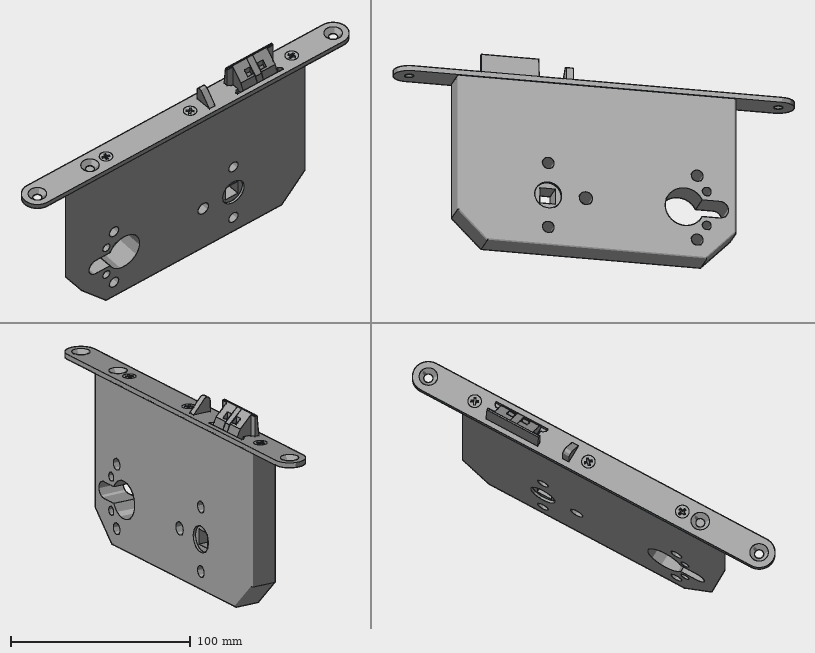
import cadquery as cq

plate_length = 230.0
plate_width = 18.0
plate_thickness = 3.0
plate_bottom = -plate_thickness

sink_diameter = 10.4
sink_bore = 5.0
sink_angle = 90
end_hole_y = 106.0
spare_hole_y = -68.3

screw_places = [(76.4, 25), (3.5, 45), (-56.8, 70)]
screw_diameter = 7.5
cross_length = 4.4
cross_arm = 1.2
cross_depth = 1.8

case_length = 160.0
case_width = 16.0
case_bottom = -100.0
case_corner_cut = 17.0
case_edge_radius = 1.0

hole_axis_z = -70.0
spindle_y = 28.0
fixing_hole_ys = [spindle_y, -57.5]
fixing_hole_rise = 19.0
fixing_hole_diameter = 6.7
rose_hole_y = -63.0
rose_hole_rise = 10.1
rose_hole_diameter = 5.0
middle_hole_y = 6.5
middle_hole_diameter = 7.5

follower_diameter = 15.5
follower_recess = 1.5
spindle_square = 9.0

cylinder_y = -50.4
cylinder_diameter = 22.3
key_slot_width = 10.0
key_slot_end_y = -75.5

latch_y = 49.2
latch_length = 33.1
latch_back_x = -6.0
latch_front_x = 5.8
latch_height = 12.0
latch_back_lean = 1.2
latch_tip_width = 1.0
latch_knee_x = 3.7
latch_knee_z = 4.4
latch_back_thickness = 2.5
latch_core_length = 24.5
rib_length = 4.4
rib_rise = 0.5
rib_knee_x = 4.4

notch_spacing = 9.2
notch_length = 4.1
notch_back_x = -0.2
notch_floor_width = 1.4
notch_wall_lean = 1.5
notch_depth = 3.5

opening_waist_length = 27.1
opening_back_neck_x = -1.8
opening_front_neck_x = 2.8
opening_bevel = 1.5

trigger_y = 15.0
trigger_length = 4.1
trigger_half_width = 5.5
trigger_corner_height = 12.6
trigger_nose_radius = 2.3

latch_tip_x = latch_back_x + latch_back_lean
latch_slope_x = latch_tip_x + latch_tip_width
latch_slope = (latch_knee_z - latch_height) / (latch_knee_x - latch_slope_x)


def slope_z(x):
    """Height of the latch slope at x."""
    return latch_height + latch_slope * (x - latch_slope_x)


def cross_bar(y, z):
    """Workplane on the -X side of the case, for outlines that run across its whole width."""
    return cq.Workplane("YZ", origin=(-case_width / 2, y, z))


def round_hole(y, z, diameter):
    return cross_bar(y, z).circle(diameter / 2).extrude(case_width)


def prism(outline, y, length):
    """Prism of an outline in X and Z, with its length along Y centred on y."""
    return cq.Workplane("XZ", origin=(0, y + length / 2, 0)).polyline(outline).close().extrude(length)


def make_case():
    half = case_length / 2
    flat_half = half - case_corner_cut
    corner_z = case_bottom + case_corner_cut
    outline = [
        (-half, plate_bottom),
        (-half, corner_z),
        (-flat_half, case_bottom),
        (flat_half, case_bottom),
        (half, corner_z),
        (half, plate_bottom),
    ]
    case = cross_bar(0, 0).polyline(outline).close().extrude(case_width)
    return case.faces("<X or >X").edges("not >Z").fillet(case_edge_radius)


def cut_round_holes(case):
    for side in (-1, 1):
        for y in fixing_hole_ys:
            case = case.cut(round_hole(y, hole_axis_z + side * fixing_hole_rise, fixing_hole_diameter))
        case = case.cut(round_hole(rose_hole_y, hole_axis_z + side * rose_hole_rise, rose_hole_diameter))
    return case.cut(round_hole(middle_hole_y, hole_axis_z, middle_hole_diameter))


def cut_follower(case):
    case = case.cut(cross_bar(spindle_y, hole_axis_z).rect(spindle_square, spindle_square).extrude(case_width))
    recess = cross_bar(spindle_y, hole_axis_z).circle(follower_diameter / 2).extrude(follower_recess)
    return case.cut(recess).cut(recess.mirror("YZ"))


def cut_keyhole(case):
    slot_end_centre = key_slot_end_y + key_slot_width / 2
    slot_length = cylinder_y - slot_end_centre
    slot_middle = cross_bar(slot_end_centre + slot_length / 2, hole_axis_z)
    slot = slot_middle.rect(slot_length, key_slot_width).extrude(case_width)
    slot_end = round_hole(slot_end_centre, hole_axis_z, key_slot_width)
    cylinder_hole = round_hole(cylinder_y, hole_axis_z, cylinder_diameter)
    return case.cut(cylinder_hole.union(slot).union(slot_end))


def make_latch():
    back_edge = [
        (latch_back_x, plate_bottom),
        (latch_back_x, 0),
        (latch_tip_x, latch_height),
        (latch_slope_x, latch_height),
    ]
    back_front_x = latch_back_x + latch_back_thickness
    back = back_edge + [(back_front_x, slope_z(back_front_x)), (back_front_x, plate_bottom)]
    front_edge = [(latch_knee_x, latch_knee_z), (latch_front_x, 0), (latch_front_x, plate_bottom)]
    rib_edge = [
        (rib_knee_x, slope_z(rib_knee_x) + rib_rise),
        (latch_front_x, 0),
        (latch_front_x, plate_bottom),
    ]
    return (
        prism(back_edge + front_edge, latch_y, latch_core_length)
        .union(prism(back, latch_y, latch_length))
        .cut(latch_notch(-1))
        .cut(latch_notch(1))
        .union(prism(back_edge + rib_edge, latch_y, rib_length))
    )


def latch_notch(side):
    floor_front_x = notch_back_x + notch_floor_width
    wall_front_x = floor_front_x + notch_wall_lean
    outline = [
        (notch_back_x, latch_height),
        (notch_back_x, slope_z(notch_back_x) - notch_depth),
        (floor_front_x, slope_z(floor_front_x) - notch_depth),
        (wall_front_x, slope_z(wall_front_x)),
        (wall_front_x, latch_height),
    ]
    return prism(outline, latch_y + side * notch_spacing / 2, notch_length)


def make_trigger():
    outline = [
        (-trigger_half_width, plate_bottom),
        (-trigger_half_width, trigger_corner_height),
        (trigger_half_width, 0),
        (trigger_half_width, plate_bottom),
    ]
    block = prism(outline, trigger_y, trigger_length)
    return block.edges("|Y and >Z").fillet(trigger_nose_radius)


def make_lock_body():
    """Case with its follower, keyhole, latch and trigger."""
    case = make_case()
    case = cut_round_holes(case)
    case = cut_follower(case)
    case = cut_keyhole(case)
    return case.union(make_latch()).union(make_trigger())


def latch_opening():
    """Opening through the faceplate, wider than the latch at its waist and front corners."""
    end_y = latch_length / 2
    waist_y = opening_waist_length / 2
    bevel_y = end_y - opening_bevel
    upper = [
        (latch_back_x, end_y),
        (opening_back_neck_x - opening_bevel, end_y),
        (opening_back_neck_x, bevel_y),
        (opening_back_neck_x, waist_y),
        (opening_front_neck_x, waist_y),
        (opening_front_neck_x, bevel_y),
        (opening_front_neck_x + opening_bevel, end_y),
        (latch_front_x, end_y),
    ]
    lower = [(x, -y) for x, y in reversed(upper)]
    return (
        cq.Workplane("XY", origin=(0, latch_y, plate_bottom))
        .polyline(upper + lower)
        .close()
        .extrude(plate_thickness)
    )


def make_faceplate():
    plate = (
        cq.Workplane("XY", origin=(0, 0, plate_bottom))
        .slot2D(plate_length, plate_width, 90)
        .extrude(plate_thickness)
        .faces(">Z")
        .workplane(origin=(0, 0, 0))
        .pushPoints([(0, end_hole_y), (0, spare_hole_y), (0, -end_hole_y)])
        .cskHole(sink_bore, sink_diameter, sink_angle)
    )
    plate = plate.cut(latch_opening()).cut(make_trigger())
    for y, _ in screw_places:
        plate = plate.cut(screw_blank(y))
    return plate


def screw_blank(y):
    """Plain screw head as deep as the faceplate, also the shape of its hole."""
    return cq.Workplane("XY", origin=(0, y, plate_bottom)).circle(screw_diameter / 2).extrude(plate_thickness)


def make_screw(y, turn):
    """Screw head with a cross-shaped recess turned about its own axis."""
    arms = cq.Workplane("XY", origin=(0, y, 0))
    long_in_x = arms.rect(cross_length, cross_arm).extrude(-cross_depth)
    long_in_y = arms.rect(cross_arm, cross_length).extrude(-cross_depth)
    cross = long_in_x.union(long_in_y)
    return screw_blank(y).cut(cross.rotate((0, y, 0), (0, y, 1), turn))


lock_body = make_lock_body()
faceplate = make_faceplate()
screws = [make_screw(y, turn) for y, turn in screw_places]

result = cq.Compound.makeCompound([
    lock_body.val(),
    faceplate.val(),
    *[screw.val() for screw in screws],
])